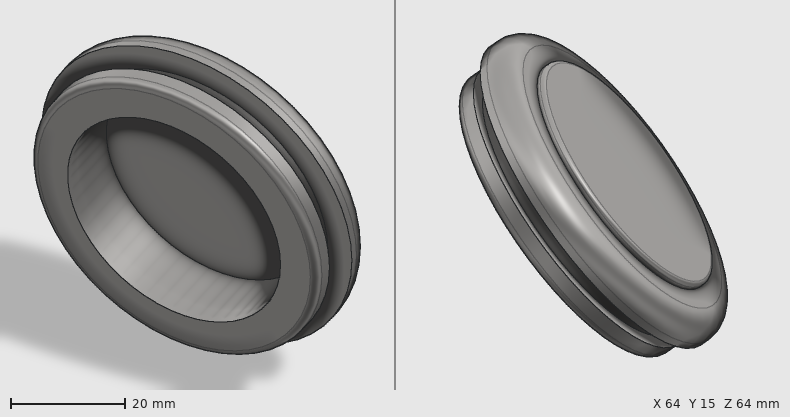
import cadquery as cq

flange_radius = 32.0
lip_radius = 29.6
neck_radius = 27.1
crown_radius = 23.6
bore_radius = 21.95

lip_length = 4.0
neck_length = 3.5
flange_length = 6.0
crown_length = 1.5
bore_depth = 12.8

lip_round = 1.5
flange_round = 4.5
crown_round = 0.8


def disc(radius, start, length):
    """Solid disc around the Y axis, extending toward +Y from start."""
    plane = cq.Workplane("XZ", origin=(0, start, 0))
    return plane.circle(radius).extrude(-length)


neck_start = lip_length
flange_start = neck_start + neck_length
crown_start = flange_start + flange_length

lip = disc(lip_radius, 0, lip_length).faces("<Y").edges().fillet(lip_round)

neck = disc(neck_radius, neck_start, neck_length)

flange = disc(flange_radius, flange_start, flange_length).faces(">Y").edges().fillet(flange_round)
crown = disc(crown_radius, crown_start, crown_length).faces(">Y").edges().fillet(crown_round)

bore = disc(bore_radius, 0, bore_depth)

result = lip.union(neck).union(flange).union(crown).cut(bore)